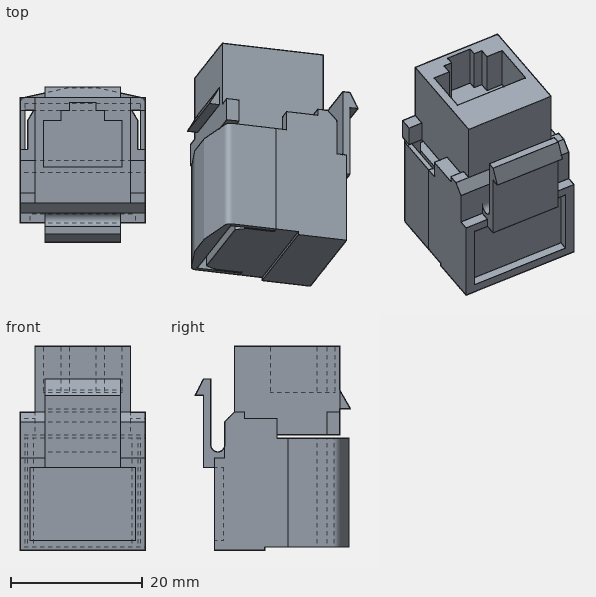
import cadquery as cq


height = 31.0
overall_width = 19.0
overall_depth = 23.6
half_width = overall_width / 2

tower_half_width = 7.25
tower_depth = 16.0
tower_base_z = 21.0

frame_front_y = -3.05
front_wall_y = -1.5
frame_top_z = 14.0
rear_floor_z = 0.5
floor_step_y = 4.62
shoulder_top_z = 20.0
shoulder_front_y = 1.55
shoulder_rear_y = 6.48
deck_z = 17.02
wall_seam_y = 8.15

ear_bottom_z = 17.5
ear_front_y = 14.05

block_half_width = 8.37
block_corner_y = 12.52
block_rear_y = ear_front_y
block_corner_slope = 0.6

catch_tip_y = 17.6
catch_bottom_z = 21.48
catch_top_z = 24.3

latch_half_width = 5.75
latch_inner_y = -3.55
latch_outer_y = -4.7
latch_tip_y = catch_tip_y - overall_depth
latch_bottom_z = 12.55
latch_catch_z = 23.5
latch_top_z = 26.0
latch_gap_radius = (front_wall_y - latch_inner_y) / 2
latch_gap_bottom_z = 14.95

socket_depth = 7.07
socket_front_y = 5.5
socket_steps = [(5.98, 3.5), (3.32, 1.95), (1.98, 0.75)]

recess_half_width = 8.0
recess_bottom_z = 1.5
recess_top_z = latch_bottom_z
recess_depth = 1.35

cover_wall = 0.75
cover_peak_y = 17.42
cover_flat_half_width = 2.48
cover_slope = 0.22
cover_corner_radius = 1.02
cover_corner_y = cover_peak_y - cover_slope * (half_width - cover_flat_half_width)
cavity_rear_y = cover_corner_y - cover_wall


def box(half_x, y_range, z_range):
    """Box symmetric about X = 0."""
    (y0, y1), (z0, z1) = y_range, z_range
    block = cq.Workplane("XY").box(2 * half_x, y1 - y0, z1 - z0, centered=(True, False, False))
    return block.translate((0, y0, z0))


def side_extrude(profile, half_x):
    """Extrude a closed YZ profile equally to both sides of X = 0."""
    return profile.extrude(half_x, both=True)


def make_lower_body():
    """Full-width front body, with a 45 degree chamfer below the tower front."""
    chamfer = -front_wall_y
    profile = (
        cq.Workplane("YZ")
        .moveTo(frame_front_y, 0)
        .lineTo(floor_step_y, 0)
        .lineTo(floor_step_y, rear_floor_z)
        .lineTo(wall_seam_y, rear_floor_z)
        .lineTo(wall_seam_y, deck_z)
        .lineTo(shoulder_rear_y, deck_z)
        .lineTo(shoulder_rear_y, shoulder_top_z)
        .lineTo(shoulder_front_y, shoulder_top_z)
        .lineTo(shoulder_front_y, tower_base_z)
        .lineTo(0, tower_base_z)
        .lineTo(front_wall_y, tower_base_z - chamfer)
        .lineTo(front_wall_y, frame_top_z)
        .lineTo(frame_front_y, frame_top_z)
        .close()
    )
    return side_extrude(profile, half_width)


def make_rear_block():
    """Block with angled rear corners, standing inside the cover with a narrow gap around it."""
    rear_half_width = block_half_width - block_corner_slope * (block_rear_y - block_corner_y)
    return (
        cq.Workplane("XY")
        .workplane(offset=rear_floor_z)
        .polyline([
            (-block_half_width, wall_seam_y),
            (block_half_width, wall_seam_y),
            (block_half_width, block_corner_y),
            (rear_half_width, block_rear_y),
            (-rear_half_width, block_rear_y),
            (-block_half_width, block_corner_y),
        ])
        .close()
        .extrude(deck_z - rear_floor_z)
    )


def make_tower():
    """Socket tower with a side ear at each rear corner and a wedge-shaped catch behind."""
    shaft = box(tower_half_width, (0, tower_depth), (ear_bottom_z, height))
    ears = box(half_width, (ear_front_y, tower_depth), (ear_bottom_z, tower_base_z))
    catch = (
        cq.Workplane("YZ")
        .moveTo(tower_depth, catch_bottom_z)
        .lineTo(catch_tip_y, catch_bottom_z)
        .lineTo(tower_depth, catch_top_z)
        .close()
    )
    return shaft.union(ears).union(side_extrude(catch, latch_half_width))


def make_latch():
    """Spring arm joined to the front wall below a round-bottomed gap."""
    gap_center_y = front_wall_y - latch_gap_radius
    gap_center_z = latch_gap_bottom_z + latch_gap_radius
    profile = (
        cq.Workplane("YZ")
        .moveTo(front_wall_y, frame_top_z)
        .lineTo(front_wall_y, gap_center_z)
        .threePointArc((gap_center_y, latch_gap_bottom_z), (latch_inner_y, gap_center_z))
        .lineTo(latch_inner_y, latch_top_z)
        .lineTo(latch_outer_y, latch_top_z)
        .lineTo(latch_tip_y, latch_catch_z)
        .lineTo(latch_outer_y, latch_catch_z)
        .lineTo(latch_outer_y, latch_bottom_z)
        .lineTo(frame_front_y, latch_bottom_z)
        .lineTo(frame_front_y, frame_top_z)
        .close()
    )
    return side_extrude(profile, latch_half_width)


def cut_socket(body):
    for step_half_width, rear_margin in socket_steps:
        step = box(
            step_half_width,
            (socket_front_y, tower_depth - rear_margin),
            (height - socket_depth, height),
        )
        body = body.cut(step)
    return body


def cut_label_recess(body):
    recess = box(
        recess_half_width,
        (frame_front_y, frame_front_y + recess_depth),
        (recess_bottom_z, recess_top_z),
    )
    return body.cut(recess)


def make_housing():
    body = make_lower_body().union(make_rear_block()).union(make_tower()).union(make_latch())
    return cut_label_recess(cut_socket(body))


def make_cover():
    """U-shaped cap whose side walls butt against the housing, with a tapered back."""
    outer = (
        cq.Workplane("XY")
        .workplane(offset=rear_floor_z)
        .polyline([
            (-half_width, wall_seam_y),
            (half_width, wall_seam_y),
            (half_width, cover_corner_y),
            (cover_flat_half_width, cover_peak_y),
            (-cover_flat_half_width, cover_peak_y),
            (-half_width, cover_corner_y),
        ])
        .close()
        .extrude(deck_z - rear_floor_z)
    )
    for side in ("<X", ">X"):
        outer = outer.faces(side).edges(">Y").fillet(cover_corner_radius)
    cavity = box(half_width - cover_wall, (wall_seam_y, cavity_rear_y), (rear_floor_z, deck_z))
    return outer.cut(cavity)


housing = make_housing().solids()
cover = make_cover().solids()

result = cq.Compound.makeCompound([housing.val(), cover.val()])